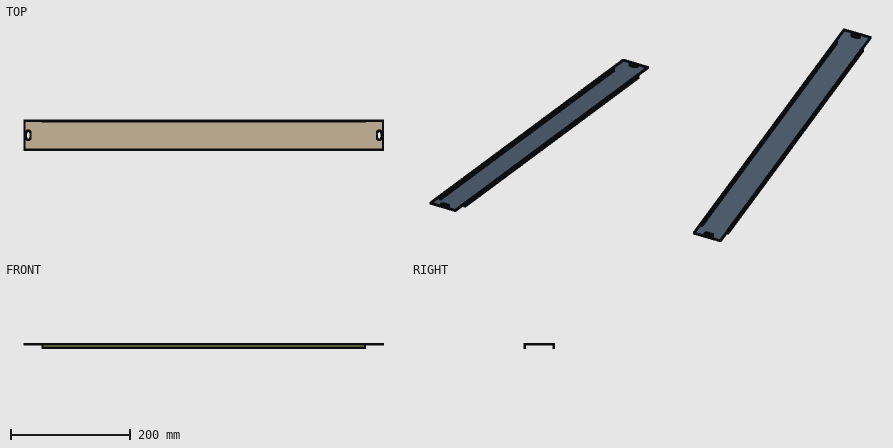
import cadquery as cq

length = 600.0
width = 49.0
height = 6.5

thickness = 1.0

end_setback = 30.0
flange_length = length - 2 * end_setback

slot_width = 7.0
slot_length = 15.0
slot_edge_distance = 6.5


def make_plate():
    """Flat top plate, with its upper face at the full height."""
    return (
        cq.Workplane("XY")
        .workplane(offset=height - thickness)
        .rect(length, width)
        .extrude(thickness)
    )


def make_flange(side):
    """Downturned flange flush with a long edge; side is -1 or +1 along Y."""
    center_y = side * (width - thickness) / 2
    return (
        cq.Workplane("XY")
        .center(0, center_y)
        .rect(flange_length, thickness)
        .extrude(height)
    )


def make_slot_cutter(side):
    """Rounded mounting slot near one end of the plate; side is -1 or +1 along X."""
    center_x = side * (length / 2 - slot_edge_distance)
    return (
        cq.Workplane("XY")
        .center(center_x, 0)
        .slot2D(slot_length, slot_width, 90)
        .extrude(height)
    )


result = make_plate()
for direction in (-1, 1):
    result = result.union(make_flange(direction))
    result = result.cut(make_slot_cutter(direction))